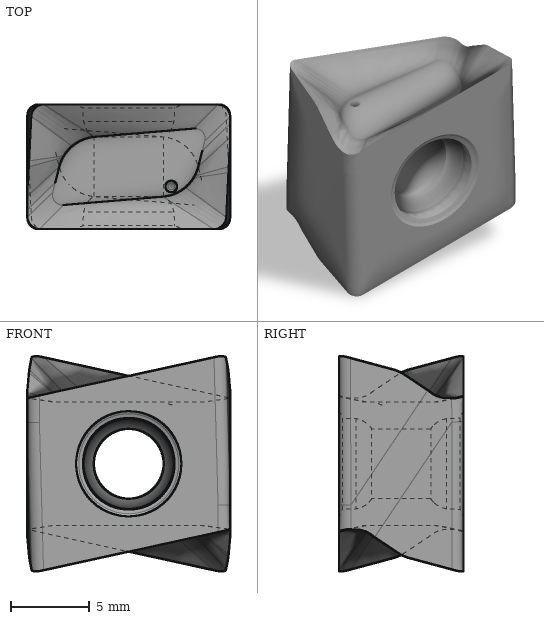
import cadquery as cq
import math

LENGTH_X = 13.0
THICKNESS_Y = 8.0
PEAK_Z = 6.885
BLANK_Z = 8.0
CORNER_RADIUS = 0.78
HALF_X = LENGTH_X / 2
HALF_Y = THICKNESS_Y / 2

RELIEF_ANGLE = math.radians(3.0)
FOLD_NORMAL_Y = 0.831
FOLD_NORMAL_Z = 0.557
FOLD_DISTANCE = 1.205
FACET_REACH = 20.0
FACET_CLEARANCE = 1.0

EDGE_MID_Z = 5.63
EDGE_SLOPE = 0.219
SIDE_START_Z = 6.76
CREST_Y, CREST_Z = 0.38, 6.0
CENTRE_Z = 5.84
RAMP_Y, RAMP_Z = 1.9, 4.57
DIP_MID_Y, DIP_MID_Z = 2.3, 4.33
DIP_Y = 2.76
LOW_Z = 4.2
LOW_CORNER_MID_Z = 4.25

FLOOR_Z = 3.96
FLOOR_LONG_ANGLE = math.radians(4.8)
FLOOR_SHORT_ANGLE = math.radians(75.7)
FLOOR_HALF_WIDTH = 2.09
FLOOR_HALF_LENGTH = 4.31
FLOOR_LARGE_RADIUS = 2.54
FLOOR_SMALL_RADIUS = 0.65
LARGE_ARC_SPLITS = (0.5, 0.76, 0.8)
SHORT_SIDE_SPLIT = 0.62
OVERSHOOT = 1.3

HOLE_MOUTH_RADIUS = 3.37
HOLE_LIP = (3.2, 0.12)
HOLE_SEAT_TOP = (2.935, 0.23)
HOLE_SEAT_EDGE = (2.9, 1.1)
HOLE_SEAT_BOTTOM = (2.86, 1.2)
HOLE_BORE = (2.23, 2.11)
HOLE_BULGE = 0.12

DIMPLE_X, DIMPLE_Y = 2.72, -1.26
DIMPLE_RADIUS = 0.37
DIMPLE_INNER_RADIUS = 0.22
DIMPLE_CONE_DEPTH = 0.1
DIMPLE_DEPTH = 0.2


X_AXIS, Y_AXIS, Z_AXIS = (1, 0, 0), (0, 1, 0), (0, 0, 1)
HALF_TURN = 180
FULL_TURN = 360


def turned_about(shape, axis):
    return shape.rotate((0, 0, 0), axis, HALF_TURN)


def relief_drop(y, z):
    """Inward shift of the +X face at (y, z) in its upper half."""
    past_fold = z * FOLD_NORMAL_Z - y * FOLD_NORMAL_Y - FOLD_DISTANCE
    return max(0.0, past_fold) * math.tan(RELIEF_ANGLE)


def relief_cutter():
    """Wedge that relieves the upper -Y corner of the +X face."""
    plane = cq.Plane(
        origin=(HALF_X, -FOLD_NORMAL_Y * FOLD_DISTANCE, FOLD_NORMAL_Z * FOLD_DISTANCE),
        xDir=(0, -FOLD_NORMAL_Y, FOLD_NORMAL_Z),
        normal=(0, FOLD_NORMAL_Z, FOLD_NORMAL_Y),
    )
    depth = FACET_REACH * math.tan(RELIEF_ANGLE)
    return (
        cq.Workplane(plane)
        .polyline([(0, 0), (FACET_REACH, depth), (FACET_REACH, -FACET_CLEARANCE)])
        .close()
        .extrude(FACET_REACH, both=True)
    )


def make_blank():
    """Block with relieved X faces and four rounded corners, still with flat ends."""
    blank = cq.Workplane("XY").box(LENGTH_X, THICKNESS_Y, 2 * BLANK_Z)
    relief = relief_cutter()
    blank = blank.cut(relief)
    for axis in (X_AXIS, Y_AXIS, Z_AXIS):
        blank = blank.cut(turned_about(relief, axis))
    return blank.faces("<Y or >Y").edges("not(<Z or >Z)").fillet(CORNER_RADIUS)


def edge_point(y, z):
    """Point of the short cutting edge on the +X face."""
    return cq.Vector(HALF_X - relief_drop(y, z), y, z)


def long_edge_point(x):
    """Point of the long cutting edge on the -Y face."""
    return cq.Vector(x, -HALF_Y, EDGE_MID_Z + EDGE_SLOPE * x)


def half_turn(point):
    return cq.Vector(-point.x, -point.y, point.z)


def floor_corner_centre(side, radius):
    """Centre of the floor corner next to the +X short side, on the -Y (-1) or +Y (+1) long side."""
    across = side * (FLOOR_HALF_WIDTH - radius)
    along = FLOOR_HALF_LENGTH - radius
    spread = math.sin(FLOOR_SHORT_ANGLE - FLOOR_LONG_ANGLE)
    x = (along * math.cos(FLOOR_LONG_ANGLE) + across * math.cos(FLOOR_SHORT_ANGLE)) / spread
    y = (along * math.sin(FLOOR_LONG_ANGLE) + across * math.sin(FLOOR_SHORT_ANGLE)) / spread
    return x, y


def floor_arc_point(centre, radius, angle):
    return cq.Vector(centre[0] + radius * math.cos(angle), centre[1] + radius * math.sin(angle), FLOOR_Z)


def pocket_stations():
    """Matching (floor, rim) point lists for each wall patch along half of the pocket.

    Two points make a straight edge and three make an arc.
    """
    large_centre = floor_corner_centre(-1, FLOOR_LARGE_RADIUS)
    small_centre = floor_corner_centre(1, FLOOR_SMALL_RADIUS)
    large_start = FLOOR_LONG_ANGLE - math.pi / 2
    large_end = FLOOR_SHORT_ANGLE - math.pi / 2
    small_end = FLOOR_LONG_ANGLE + math.pi / 2

    def large(fraction):
        angle = large_start + fraction * (large_end - large_start)
        return floor_arc_point(large_centre, FLOOR_LARGE_RADIUS, angle)

    def large_arc(first, last):
        return [large(first), large((first + last) / 2), large(last)]

    def small(fraction):
        angle = large_end + fraction * (small_end - large_end)
        return floor_arc_point(small_centre, FLOOR_SMALL_RADIUS, angle)

    short_mid = large(1) + (small(0) - large(1)) * SHORT_SIDE_SPLIT

    side_y = HALF_Y - CORNER_RADIUS
    side_start = edge_point(-side_y, SIDE_START_Z)
    long_start = long_edge_point(CORNER_RADIUS - HALF_X)
    long_end = long_edge_point(side_start.x - CORNER_RADIUS)
    diagonal = CORNER_RADIUS * math.sqrt(0.5)
    high_mid = cq.Vector(long_end.x + diagonal, -side_y - diagonal, PEAK_Z)
    crest = edge_point(-CREST_Y, CREST_Z)
    centre = edge_point(0, CENTRE_Z)
    ramp = edge_point(RAMP_Y, RAMP_Z)
    dip_mid = edge_point(DIP_MID_Y, DIP_MID_Z)
    dip = edge_point(DIP_Y, LOW_Z)
    side_end = edge_point(side_y, LOW_Z)
    low_mid = cq.Vector(HALF_X - CORNER_RADIUS + diagonal, side_y + diagonal, LOW_CORNER_MID_Z)

    split_a, split_b, split_c = LARGE_ARC_SPLITS
    return [
        ([half_turn(small(1)), large(0)], [long_start, long_end]),
        (large_arc(0, split_a), [long_end, high_mid, side_start]),
        (large_arc(split_a, split_b), [side_start, crest]),
        (large_arc(split_b, split_c), [crest, centre]),
        (large_arc(split_c, 1), [centre, ramp]),
        ([large(1), short_mid], [ramp, dip_mid, dip]),
        ([short_mid, small(0)], [dip, side_end]),
        ([small(0), small(0.5), small(1)], [side_end, low_mid, half_turn(long_start)]),
    ]


def make_edge(points):
    if len(points) == 2:
        return cq.Edge.makeLine(*points)
    return cq.Edge.makeThreePointArc(*points)


def stretch(floor_points, rim_points):
    """Continue each wall line from the floor past the rim."""
    count = max(len(floor_points), len(rim_points))
    floor_edge = make_edge(floor_points)
    rim_edge = make_edge(rim_points)
    ends = []
    for index in range(count):
        fraction = index / (count - 1)
        start = floor_edge.positionAt(fraction)
        rim = rim_edge.positionAt(fraction)
        ends.append(start + (rim - start) * OVERSHOOT)
    return ends


def raised(point):
    return cq.Vector(point.x, point.y, 2 * BLANK_Z)


def pocket_cutter():
    """Everything above the pocket floor and its sloping walls."""
    half = pocket_stations()
    turned = [([half_turn(p) for p in floor], [half_turn(p) for p in rim]) for floor, rim in half]
    faces = []
    floor_edges = []
    top_edges = []
    for floor_points, rim_points in half + turned:
        outer_points = stretch(floor_points, rim_points)
        floor_edge = make_edge(floor_points)
        outer_edge = make_edge(outer_points)
        top_edge = make_edge([raised(p) for p in outer_points])
        faces.append(cq.Face.makeRuledSurface(floor_edge, outer_edge))
        faces.append(cq.Face.makeRuledSurface(outer_edge, top_edge))
        floor_edges.append(floor_edge)
        top_edges.append(top_edge)
    faces.append(cq.Face.makeFromWires(cq.Wire.assembleEdges(floor_edges)))
    faces.append(cq.Face.makeFromWires(cq.Wire.assembleEdges(top_edges)))
    solid = cq.Solid.makeSolid(cq.Shell.makeShell(faces))
    return cq.Workplane(solid.fix())


def hole_cutter():
    """Half of the screw hole, from the -Y face to the mid-plane, as (radius, Y) profile."""
    (seat_r, seat_d), (bore_r, bore_d) = HOLE_SEAT_BOTTOM, HOLE_BORE
    chord = math.hypot(seat_r - bore_r, bore_d - seat_d)
    mid_r = (seat_r + bore_r) / 2 + HOLE_BULGE * (bore_d - seat_d) / chord
    mid_d = (seat_d + bore_d) / 2 + HOLE_BULGE * (seat_r - bore_r) / chord

    def at_depth(radius, depth):
        return radius, depth - HALF_Y

    return (
        cq.Workplane("XY")
        .moveTo(0, -HALF_Y)
        .lineTo(HOLE_MOUTH_RADIUS, -HALF_Y)
        .lineTo(*at_depth(*HOLE_LIP))
        .lineTo(*at_depth(*HOLE_SEAT_TOP))
        .lineTo(*at_depth(*HOLE_SEAT_EDGE))
        .lineTo(*at_depth(*HOLE_SEAT_BOTTOM))
        .threePointArc(at_depth(mid_r, mid_d), at_depth(*HOLE_BORE))
        .lineTo(bore_r, 0)
        .lineTo(0, 0)
        .close()
        .revolve(FULL_TURN, (0, 0, 0), (0, 1, 0))
    )


def dimple_cutter():
    return (
        cq.Workplane("XZ")
        .moveTo(0, 0)
        .lineTo(DIMPLE_RADIUS, 0)
        .lineTo(DIMPLE_INNER_RADIUS, -DIMPLE_CONE_DEPTH)
        .lineTo(0, -DIMPLE_DEPTH)
        .close()
        .revolve(FULL_TURN, (0, 0, 0), (0, 1, 0))
        .translate((DIMPLE_X, DIMPLE_Y, FLOOR_Z))
    )


result = make_blank()
pocket = pocket_cutter()
result = result.cut(pocket).cut(turned_about(pocket, X_AXIS))
hole = hole_cutter()
result = result.cut(hole).cut(turned_about(hole, X_AXIS))
result = result.cut(dimple_cutter())